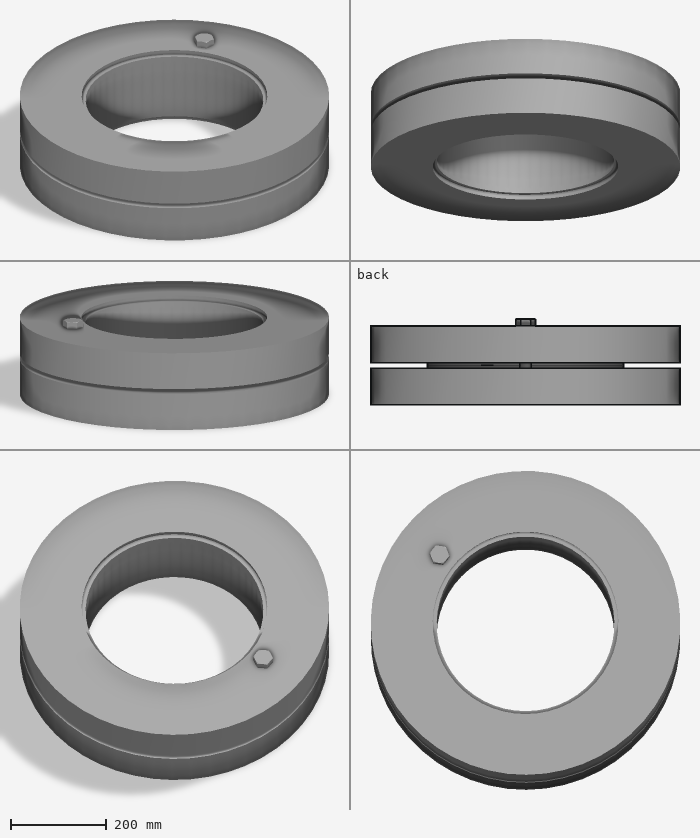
import cadquery as cq
import math

ring_diameter = 645.0
ring_thickness = 77.0
ring_gap = 11.0
face_bore_diameter = 387.0

sleeve_bore_diameter = 370.0
sleeve_waist_diameter = 410.0
sleeve_recess = 11.0

bolt_offset = 229.0
shank_diameter = 24.0
head_across_flats = 36.0
head_height = 15.0
head_top_diameter = 36.0
head_chamfer_angle = 30.0

stack_height = 2 * ring_thickness + ring_gap
middle_height = stack_height / 2
upper_ring_base = ring_thickness + ring_gap

taper_slope = (sleeve_waist_diameter - face_bore_diameter) / 2 / middle_height


def taper_radius(height):
    """Radius of the shared double taper at a given height."""
    return sleeve_waist_diameter / 2 - taper_slope * abs(height - middle_height)


def revolve_profile(points):
    """Revolve a closed (radius, height) outline about the Z axis."""
    axis_start = (0, 0)
    axis_end = (0, 1)
    return cq.Workplane("XZ").polyline(points).close().revolve(360, axis_start, axis_end)


def bolt_shank():
    return cq.Workplane("XY").center(0, bolt_offset).circle(shank_diameter / 2).extrude(stack_height)


def clamping_ring(base_height):
    """Ring with a tapered bore and a hole for the bolt."""
    top_height = base_height + ring_thickness
    outline = [
        (taper_radius(base_height), base_height),
        (ring_diameter / 2, base_height),
        (ring_diameter / 2, top_height),
        (taper_radius(top_height), top_height),
    ]
    return revolve_profile(outline).cut(bolt_shank())


def inner_sleeve():
    """Sleeve with a plain bore and two tapers that meet at its waist."""
    bottom = sleeve_recess
    top = stack_height - sleeve_recess
    outline = [
        (sleeve_bore_diameter / 2, bottom),
        (taper_radius(bottom), bottom),
        (taper_radius(middle_height), middle_height),
        (taper_radius(top), top),
        (sleeve_bore_diameter / 2, top),
    ]
    return revolve_profile(outline)


def clamping_bolt():
    """Bolt through both rings, with the corners of its head chamfered on top."""
    across_corners = head_across_flats / math.cos(math.radians(30))
    head_top = stack_height + head_height
    head = (
        cq.Workplane("XY", origin=(0, bolt_offset, stack_height))
        .polygon(6, across_corners)
        .extrude(head_height)
    )

    corner_drop = (across_corners - head_top_diameter) / 2 * math.tan(math.radians(head_chamfer_angle))
    envelope = revolve_profile([
        (0, stack_height),
        (across_corners / 2, stack_height),
        (across_corners / 2, head_top - corner_drop),
        (head_top_diameter / 2, head_top),
        (0, head_top),
    ]).translate((0, bolt_offset, 0))
    return bolt_shank().union(head.intersect(envelope))


clamping_rings = [clamping_ring(base_height) for base_height in (0, upper_ring_base)]
sleeve = inner_sleeve()
bolt = clamping_bolt()

result = cq.Compound.makeCompound([
    *[ring.val() for ring in clamping_rings],
    sleeve.val(),
    bolt.val(),
])